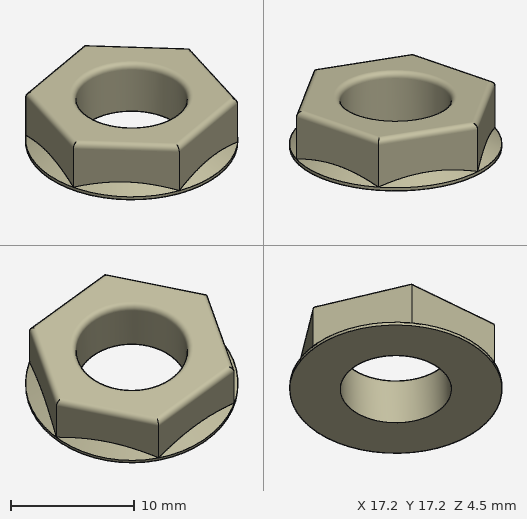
import cadquery as cq
import math

flange_diameter = 17.2
rim_height = 0.3
flange_slope_degrees = 30.0
across_flats = 14.88
total_height = 4.5
bore_diameter = 9.0
edge_radius = 0.5

flange_radius = flange_diameter / 2
bore_radius = bore_diameter / 2
across_corners = across_flats / math.cos(math.radians(30))


def make_hex_body():
    """Hexagonal prism with corners on the X axis and rounded top edges."""
    prism = cq.Workplane("XY").polygon(6, across_corners).extrude(total_height)
    return prism.faces(">Z").edges().fillet(edge_radius)


def make_flange():
    """Disc with a straight rim and a cone that rises into the hexagon."""
    cone_top_radius = (bore_radius + across_flats / 2) / 2
    cone_rise = (flange_radius - cone_top_radius) * math.tan(math.radians(flange_slope_degrees))
    profile = (
        cq.Workplane("XZ")
        .lineTo(flange_radius, 0)
        .lineTo(flange_radius, rim_height)
        .lineTo(cone_top_radius, rim_height + cone_rise)
        .lineTo(0, rim_height + cone_rise)
        .close()
    )
    return profile.revolve(360, (0, 0, 0), (0, 1, 0))


def make_bore():
    """Through hole cutter that flares with a rounded mouth at the top."""
    mouth_radius = bore_radius + edge_radius
    arc_offset = edge_radius * math.sqrt(0.5)
    profile = (
        cq.Workplane("XZ")
        .lineTo(bore_radius, 0)
        .lineTo(bore_radius, total_height - edge_radius)
        .threePointArc(
            (mouth_radius - arc_offset, total_height - edge_radius + arc_offset),
            (mouth_radius, total_height),
        )
        .lineTo(0, total_height)
        .close()
    )
    return profile.revolve(360, (0, 0, 0), (0, 1, 0))


result = make_hex_body().union(make_flange()).cut(make_bore())